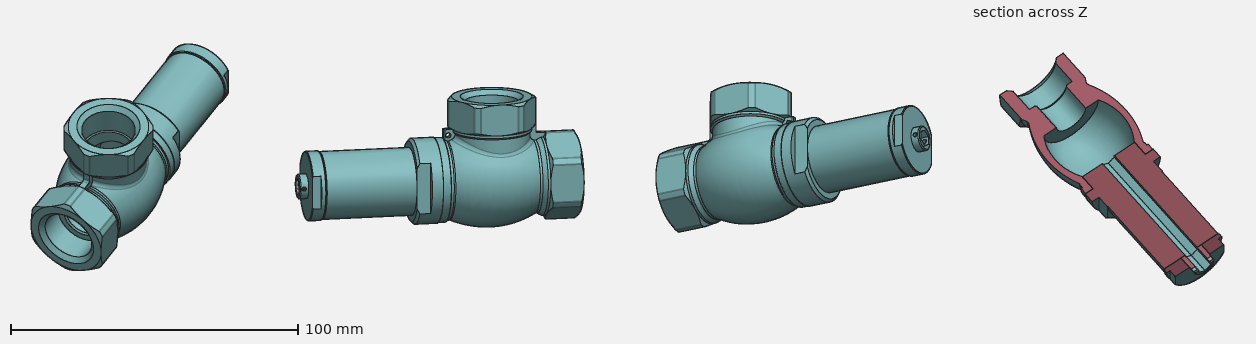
import cadquery as cq
import math


inlet_face = 30.0
outlet_face = 29.0
inlet_hex_length = 11.9
outlet_hex_length = 11.0
hex_flats = 28.0
hex_corners = 31.1
hex_edge_fillet = 1.2
neck_rim_length = 0.9
hex_chamfer_height = 0.9

mouth_radius = 11.0
thread_radius = 9.3
mouth_depth = 1.7
thread_depth = 11.0

barrel_start = -14.7
barrel_end = 15.6
inlet_neck_radius = 13.1
barrel_middle = 1.3
barrel_radius = 17.2
barrel_end_radius = 14.1
wall = 2.6
inlet_neck_end = -15.5
outlet_neck_radius = 13.4
outlet_neck_end = 16.5
outlet_neck_fillet = 2.0
neck_radius = 14.3
neck_start = 16.2
collar_start = 17.3
collar_end = 20.2
collar_radius = 14.85

cavity_start = -7.3
cavity_start_radius = 12.0
outlet_bore_radius = 8.5
seat_radius = 6.4
seat_mouth_radius = 7.0
spigot_radius = 11.4
spigot_start = 13.9

web_width = 2.4
web_root = 11.9
lug_top = 18.1
lug_chamfer = 0.4
lug_hole_diameter = 1.8
lug_hole_y = 15.6
lug_hole_z = 16.0
web_fillet = 0.6

bonnet_head_end = 29.0
bonnet_head_radius = 15.0
bonnet_head_chamfer = 1.0
bonnet_flats = 24.2
bonnet_flat_length = 4.9
tube_radius = 11.9
tube_end = 61.2
seam_chamfer = 0.3

cap_end = 65.9
cap_radius = 12.2
cap_flats = 21.4
cap_flat_length = 3.1
cap_edge_chamfer = 0.3

overall_length = 99.0
screw_end = overall_length - inlet_face
screw_radius = 4.4
screw_chamfer = 0.4
cross_hole_diameter = 1.5
cross_hole_y = 67.5
socket_flats = 5.1


def cylinder_y(radius, start, end):
    """Cylinder on the valve axis between two Y positions."""
    return cq.Workplane("XZ", origin=(0, start, 0)).circle(radius).extrude(start - end)


def cross_cylinder(diameter, y, z):
    """Cylinder parallel to X that pierces the whole part."""
    return cq.Workplane("YZ").center(y, z).circle(diameter / 2).extrude(barrel_radius, both=True)


def flats_cutter(across, start, end):
    """Two blocks that leave parallel flats facing -X and +X."""
    cutter = cq.Workplane()
    for side in (-1, 1):
        block = cq.Workplane().box(barrel_radius, end - start, 2 * barrel_radius)
        cutter = cutter.add(block.translate((side * (across + barrel_radius) / 2, (start + end) / 2, 0)))
    return cutter.combine()


def hex_passage(start, end):
    """Hexagonal prism on the valve axis with corners toward -Z and +Z."""
    socket = cq.Workplane("XZ", origin=(0, start, 0))
    socket = socket.polygon(6, socket_flats / math.cos(math.pi / 6)).extrude(start - end)
    return socket.rotate((0, 0, 0), (0, 1, 0), 30)


def hexagon(across, height):
    """Hexagonal prism along Z with flats toward -Y and +Y."""
    return cq.Workplane().polygon(6, across / math.cos(math.pi / 6)).extrude(height)


def hex_end(face, length):
    """Pipe end along +Z with flats toward -X and +X and flattened, chamfered corners."""
    prism = hexagon(hex_flats, face).rotate((0, 0, 0), (0, 0, 1), 30)
    prism = prism.intersect(hexagon(hex_corners, face)).edges("|Z").fillet(hex_edge_fillet)
    outer = hex_corners / 2
    back = face - length
    envelope = (
        cq.Workplane("XZ")
        .moveTo(0, back)
        .lineTo(hex_flats / 2, back)
        .lineTo(outer, back + hex_chamfer_height)
        .lineTo(outer, face - hex_chamfer_height)
        .lineTo(hex_flats / 2, face)
        .lineTo(0, face)
        .close()
        .revolve(360, (0, 0, 0), (0, 1, 0))
    )
    return prism.intersect(envelope)


def thread_bore(face):
    """Bore along +Z with a conical mouth at the end face."""
    return (
        cq.Workplane("XZ")
        .moveTo(0, face - thread_depth)
        .lineTo(thread_radius, face - thread_depth)
        .lineTo(thread_radius, face - mouth_depth)
        .lineTo(mouth_radius, face)
        .lineTo(0, face)
        .close()
        .revolve(360, (0, 0, 0), (0, 1, 0))
    )


def toward_inlet(shape):
    """Turn a shape built along +Z so that it points along -Y."""
    return shape.rotate((0, 0, 0), (1, 0, 0), 90)


def barrel():
    """Bulged middle of the housing with the inlet neck and the collar."""
    inlet_hex_back = inlet_hex_length - inlet_face
    return (
        cq.Workplane("XY")
        .moveTo(0, inlet_hex_back)
        .lineTo(hex_flats / 2, inlet_hex_back)
        .lineTo(hex_flats / 2, inlet_hex_back + neck_rim_length)
        .lineTo(inlet_neck_radius, inlet_neck_end)
        .lineTo(inlet_neck_radius, barrel_start)
        .threePointArc((barrel_radius, barrel_middle), (barrel_end_radius, barrel_end))
        .lineTo(neck_radius, neck_start)
        .lineTo(neck_radius, collar_start)
        .lineTo(collar_radius, collar_start)
        .lineTo(collar_radius, collar_end)
        .lineTo(0, collar_end)
        .close()
        .revolve(360, (0, 0, 0), (0, 1, 0))
    )


def outlet_neck():
    """Round neck that flares out to the back of the outlet hexagon."""
    hex_back = outlet_face - outlet_hex_length
    return (
        cq.Workplane("XZ")
        .lineTo(outlet_neck_radius, 0)
        .lineTo(outlet_neck_radius, outlet_neck_end)
        .lineTo(hex_flats / 2, hex_back - neck_rim_length)
        .lineTo(hex_flats / 2, hex_back)
        .lineTo(0, hex_back)
        .close()
        .revolve(360, (0, 0, 0), (0, 1, 0))
    )


def webs():
    """Web between the two hexagons and the sealing lug on the other side of the outlet neck."""
    half = web_width / 2
    corner = hex_corners / 2
    top = outlet_face - outlet_hex_length + hex_chamfer_height
    front = inlet_hex_length - inlet_face - hex_chamfer_height
    web = (
        cq.Workplane("YZ", origin=(-half, 0, 0))
        .moveTo(-web_root, web_root)
        .lineTo(-web_root, top)
        .lineTo(-corner, top)
        .lineTo(-corner, corner + web_fillet)
        .radiusArc((-corner - web_fillet, corner), web_fillet)
        .lineTo(front, corner)
        .lineTo(front, web_root)
        .close()
        .extrude(web_width)
    )
    lug = cq.Workplane().box(web_width, collar_start - web_root, lug_top - web_root, centered=False)
    lug = lug.translate((-half, web_root, web_root))
    lug = lug.faces(">Y").edges("|Z").chamfer(lug_chamfer)
    return web, lug


def cavity():
    """Chamber inside the barrel, following its bulge, with the bore for the bonnet spigot."""
    return (
        cq.Workplane("XY")
        .moveTo(0, cavity_start)
        .lineTo(cavity_start_radius, cavity_start)
        .threePointArc((barrel_radius - wall, barrel_middle), (spigot_radius, spigot_start))
        .lineTo(spigot_radius, collar_end)
        .lineTo(0, collar_end)
        .close()
        .revolve(360, (0, 0, 0), (0, 1, 0))
    )


def valve_seat():
    """Passage from the inlet bore into the chamber, conical on the inlet side."""
    floor = thread_depth - inlet_face
    chamfer = seat_mouth_radius - seat_radius
    return (
        cq.Workplane("XY")
        .moveTo(0, floor)
        .lineTo(seat_mouth_radius, floor)
        .lineTo(seat_radius, floor + chamfer)
        .lineTo(seat_radius, cavity_start)
        .lineTo(0, cavity_start)
        .close()
        .revolve(360, (0, 0, 0), (0, 1, 0))
    )


def neck_seam():
    """Selector of the two edges, one on each side of the webs, where the outlet neck meets the barrel."""
    reach = outlet_neck_radius
    return cq.selectors.BoxSelector((-reach, -web_width, 0), (reach, web_width, barrel_radius))


def make_housing():
    body = barrel().union(outlet_neck())
    for web in webs():
        body = body.union(web)
    body = body.edges("%BSPLINE").edges(neck_seam()).fillet(outlet_neck_fillet)
    body = body.union(hex_end(outlet_face, outlet_hex_length))
    body = body.union(toward_inlet(hex_end(inlet_face, inlet_hex_length)))
    body = body.cut(cavity()).cut(valve_seat())
    body = body.cut(thread_bore(outlet_face)).cut(toward_inlet(thread_bore(inlet_face)))
    body = body.cut(cq.Workplane().circle(outlet_bore_radius).extrude(outlet_face))
    return body.cut(cross_cylinder(lug_hole_diameter, lug_hole_y, lug_hole_z))


def make_bonnet():
    head = cylinder_y(bonnet_head_radius, collar_end, bonnet_head_end)
    head = head.faces(">Y").edges().chamfer(bonnet_head_chamfer)
    head = head.cut(flats_cutter(bonnet_flats, bonnet_head_end - bonnet_flat_length, bonnet_head_end))
    tube = cylinder_y(tube_radius, collar_end, tube_end).faces(">Y").edges().chamfer(seam_chamfer)
    spigot = cylinder_y(spigot_radius, spigot_start, collar_end)
    return head.union(tube).union(spigot).cut(hex_passage(spigot_start, tube_end))


def make_cap():
    cap = cylinder_y(cap_radius, tube_end, cap_end)
    cap = cap.faces("<Y").edges().chamfer(seam_chamfer)
    cap = cap.faces(">Y").edges().chamfer(cap_edge_chamfer)
    cap = cap.cut(flats_cutter(cap_flats, cap_end - cap_flat_length, cap_end))
    return cap.cut(cylinder_y(screw_radius, tube_end, cap_end))


def make_screw():
    screw = cylinder_y(screw_radius, tube_end, screw_end).faces(">Y").edges().chamfer(screw_chamfer)
    screw = screw.cut(hex_passage(tube_end, screw_end))
    return screw.cut(cross_cylinder(cross_hole_diameter, cross_hole_y, 0))


housing = make_housing()
bonnet = make_bonnet()
cap = make_cap()
screw = make_screw()
result = cq.Compound.makeCompound([housing.val(), bonnet.val(), cap.val(), screw.val()])